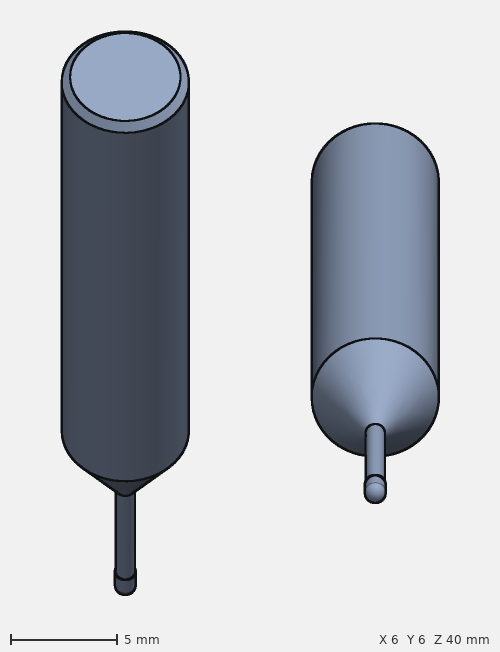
import cadquery as cq
import math

total_length = 40.0

tip_diameter = 1.0
tip_radius = tip_diameter / 2
tip_length = 3 * tip_radius
arc_mid = tip_radius * math.sqrt(0.5)

shank_radius = 3.0
shank_chamfer = 0.4
neck_diameter = 0.9
neck_radius = neck_diameter / 2
neck_top = 8.0
cone_height = 4.5
cone_top = neck_top + cone_height


def revolve_about_z(profile):
    """Turn a closed radius-height profile, drawn on XZ, fully around Z."""
    return profile.close().revolve(360, (0, 0, 0), (0, 1, 0))


def make_cutting_tip():
    """Short cylinder ending in a hemisphere that touches Z = 0."""
    profile = (
        cq.Workplane("XZ")
        .moveTo(0, 0)
        .threePointArc((arc_mid, tip_radius - arc_mid), (tip_radius, tip_radius))
        .lineTo(tip_radius, tip_length)
        .lineTo(0, tip_length)
    )
    return revolve_about_z(profile)


def make_holder():
    """Neck standing on the tip, widening through a cone to the chamfered shank."""
    profile = (
        cq.Workplane("XZ")
        .moveTo(0, tip_length)
        .lineTo(neck_radius, tip_length)
        .lineTo(neck_radius, neck_top)
        .lineTo(shank_radius, cone_top)
        .lineTo(shank_radius, total_length - shank_chamfer)
        .lineTo(shank_radius - shank_chamfer, total_length)
        .lineTo(0, total_length)
    )
    return revolve_about_z(profile)


cutting_tip = make_cutting_tip()
holder = make_holder()

result = cq.Compound.makeCompound([cutting_tip.val(), holder.val()])